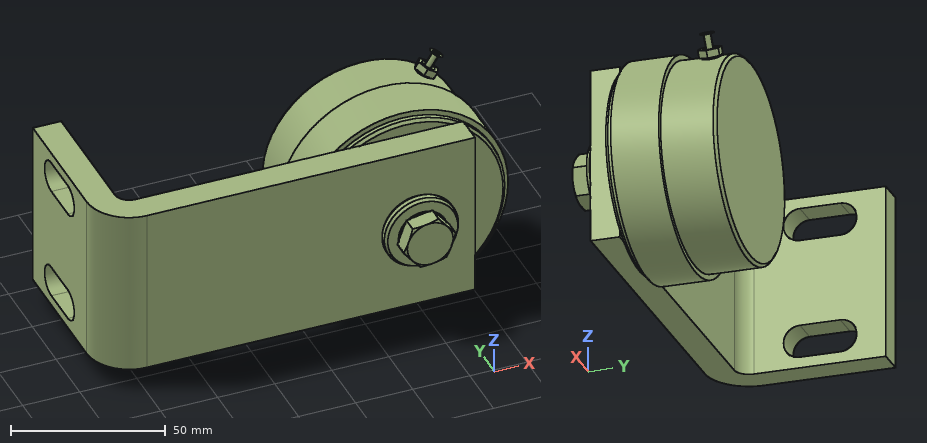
import cadquery as cq
import math

ARM_LENGTH = 130.0
LEG_LENGTH = 60.1
PLATE_WIDTH = 60.0
PLATE_THICKNESS = 10.0
BEND_OUTER_RADIUS = 15.0
BEND_INNER_RADIUS = BEND_OUTER_RADIUS - PLATE_THICKNESS

SLOT_LENGTH = 25
SLOT_WIDTH = 11.2
SLOT_CENTER_Y = 37.6
SLOT_SPACING = 41.1

AXIS_X = 110.0
TREAD_DIAMETER = 70.0
OVERALL_LENGTH = 146.9
FLANGE_DIAMETER = 2 * (OVERALL_LENGTH - AXIS_X)
RIM_CHAMFER = 1.0
COVER_THICKNESS = 2.6
FLANGE_THICKNESS = 16.5
ROLLER_WIDTH = 38.0
COVER_FRONT_Y = PLATE_THICKNESS
FLANGE_FRONT_Y = COVER_FRONT_Y + COVER_THICKNESS
FLANGE_BACK_Y = FLANGE_FRONT_Y + FLANGE_THICKNESS
ROLLER_BACK_Y = COVER_FRONT_Y + ROLLER_WIDTH

WASHER_THICKNESS = 4.0
WASHER_DIAMETER = 26.0
WASHER_BASE_DIAMETER = 25
WASHER_FRONT_DIAMETER = 24.5
WASHER_BASE_BEVEL = 0.9
WASHER_FRONT_BEVEL = 1.2

SHANK_DIAMETER = 10.0
BEARING_FACE_DIAMETER = 17.0
BEARING_FACE_HEIGHT = 0.5
HEAD_HEIGHT = 6.3
HEAD_ACROSS_FLATS = 16.0
HEAD_CHAMFER = 0.6
HEAD_ROTATION = 10
SHANK_END_Y = 30.0

NIPPLE_TILT = 33
NIPPLE_Y = 41.0
NIPPLE_THREAD_END = 29.4
NIPPLE_HEX_BASE = 35.4
NIPPLE_HEX_TOP = 38.0
NIPPLE_TIP = 43.0
NIPPLE_THREAD_DIAMETER = 6.0
NIPPLE_HEX_ACROSS_FLATS = 7.0
STEM_DIAMETER = 2.5
BORE_DIAMETER = 2.0
COLLAR_DIAMETER = 4.8
COLLAR_THICKNESS = 0.07
RECESS_DIAMETER = COLLAR_DIAMETER
RECESS_DEPTH = 2.2


def across_corners(across_flats):
    return across_flats / math.cos(math.pi / 6)


def disc(diameter, start_y, end_y):
    """Cylinder on the roller axis between two Y positions."""
    plane = cq.Plane(origin=(AXIS_X, start_y, 0), xDir=(1, 0, 0), normal=(0, 1, 0))
    return cq.Workplane(plane).circle(diameter / 2).extrude(end_y - start_y)


def make_bracket():
    plate = (
        cq.Workplane("XY", origin=(0, 0, -PLATE_WIDTH / 2))
        .moveTo(ARM_LENGTH, 0)
        .lineTo(BEND_OUTER_RADIUS, 0)
        .radiusArc((0, BEND_OUTER_RADIUS), BEND_OUTER_RADIUS)
        .lineTo(0, LEG_LENGTH)
        .lineTo(PLATE_THICKNESS, LEG_LENGTH)
        .lineTo(PLATE_THICKNESS, BEND_OUTER_RADIUS)
        .radiusArc((BEND_OUTER_RADIUS, PLATE_THICKNESS), -BEND_INNER_RADIUS)
        .lineTo(ARM_LENGTH, PLATE_THICKNESS)
        .close()
        .extrude(PLATE_WIDTH)
    )
    slots = (
        cq.Workplane("YZ")
        .pushPoints([(SLOT_CENTER_Y, side * SLOT_SPACING / 2) for side in (-1, 1)])
        .slot2D(SLOT_LENGTH, SLOT_WIDTH)
        .extrude(PLATE_THICKNESS)
    )
    bolt_hole = disc(SHANK_DIAMETER, 0, PLATE_THICKNESS)
    return plate.cut(slots).cut(bolt_hole)


def make_washer():
    profile = [
        (SHANK_DIAMETER / 2, 0),
        (WASHER_BASE_DIAMETER / 2, 0),
        (WASHER_DIAMETER / 2, -WASHER_BASE_BEVEL),
        (WASHER_DIAMETER / 2, WASHER_FRONT_BEVEL - WASHER_THICKNESS),
        (WASHER_FRONT_DIAMETER / 2, -WASHER_THICKNESS),
        (SHANK_DIAMETER / 2, -WASHER_THICKNESS),
    ]
    return (
        cq.Workplane("XY", origin=(AXIS_X, 0, 0))
        .polyline(profile)
        .close()
        .revolve(360, (0, 0, 0), (0, 1, 0))
    )


def make_bolt():
    seat_y = -WASHER_THICKNESS
    hexagon_y = seat_y - BEARING_FACE_HEIGHT
    front_y = seat_y - HEAD_HEIGHT
    corner_diameter = across_corners(HEAD_ACROSS_FLATS)
    head = (
        cq.Workplane("XZ", origin=(AXIS_X, hexagon_y, 0))
        .transformed(rotate=(0, 0, HEAD_ROTATION))
        .polygon(6, corner_diameter)
        .extrude(hexagon_y - front_y)
    )
    bevel_width = (corner_diameter - HEAD_ACROSS_FLATS) / 2
    envelope = disc(corner_diameter, front_y, hexagon_y).faces("<Y").chamfer(HEAD_CHAMFER, bevel_width)
    shank = disc(SHANK_DIAMETER, seat_y, SHANK_END_Y)
    bearing_face = disc(BEARING_FACE_DIAMETER, hexagon_y, seat_y)
    return head.intersect(envelope).union(bearing_face).union(shank)


def make_cover():
    cover = disc(TREAD_DIAMETER, COVER_FRONT_Y, FLANGE_FRONT_Y).faces("<Y").chamfer(RIM_CHAMFER)
    return cover.cut(disc(SHANK_DIAMETER, COVER_FRONT_Y, FLANGE_FRONT_Y))


def nipple_plane(radial_distance):
    """Plane square to the nipple axis, at a distance from the roller axis."""
    tilt = math.radians(NIPPLE_TILT)
    outward = cq.Vector(math.sin(tilt), 0, math.cos(tilt))
    across = cq.Vector(math.cos(tilt), 0, -math.sin(tilt))
    origin = cq.Vector(AXIS_X, NIPPLE_Y, 0) + outward * radial_distance
    return cq.Plane(origin=origin, xDir=across, normal=outward)


def nipple_disc(diameter, start, end):
    return cq.Workplane(nipple_plane(start)).circle(diameter / 2).extrude(end - start)


def make_nipple():
    recess_floor = NIPPLE_HEX_TOP - RECESS_DEPTH
    hexagon = (
        cq.Workplane(nipple_plane(NIPPLE_HEX_BASE))
        .polygon(6, across_corners(NIPPLE_HEX_ACROSS_FLATS))
        .extrude(NIPPLE_HEX_TOP - NIPPLE_HEX_BASE)
    )
    recess = nipple_disc(RECESS_DIAMETER, recess_floor, NIPPLE_HEX_TOP)
    thread = nipple_disc(NIPPLE_THREAD_DIAMETER, NIPPLE_THREAD_END, NIPPLE_HEX_BASE)
    stem = nipple_disc(STEM_DIAMETER, recess_floor, NIPPLE_TIP)
    collar = nipple_disc(COLLAR_DIAMETER, NIPPLE_TIP - COLLAR_THICKNESS, NIPPLE_TIP)
    bore = nipple_disc(BORE_DIAMETER, NIPPLE_THREAD_END, NIPPLE_TIP)
    return hexagon.cut(recess).union(thread).union(stem).union(collar).cut(bore)


def make_roller():
    flange = disc(FLANGE_DIAMETER, FLANGE_FRONT_Y, FLANGE_BACK_Y)
    tread = disc(TREAD_DIAMETER, FLANGE_FRONT_Y, ROLLER_BACK_Y).faces(">Y").chamfer(RIM_CHAMFER)
    shank_hole = disc(SHANK_DIAMETER, FLANGE_FRONT_Y, SHANK_END_Y)
    nipple_hole = nipple_disc(NIPPLE_THREAD_DIAMETER, NIPPLE_THREAD_END, NIPPLE_HEX_BASE)
    return flange.union(tread).cut(shank_hole).cut(nipple_hole)


bracket = make_bracket()
washer = make_washer()
bolt = make_bolt()
cover = make_cover()
roller = make_roller()
nipple = make_nipple()

result = cq.Compound.makeCompound(
    [bracket.val(), washer.val(), bolt.val(), cover.val(), roller.val(), nipple.val()]
)